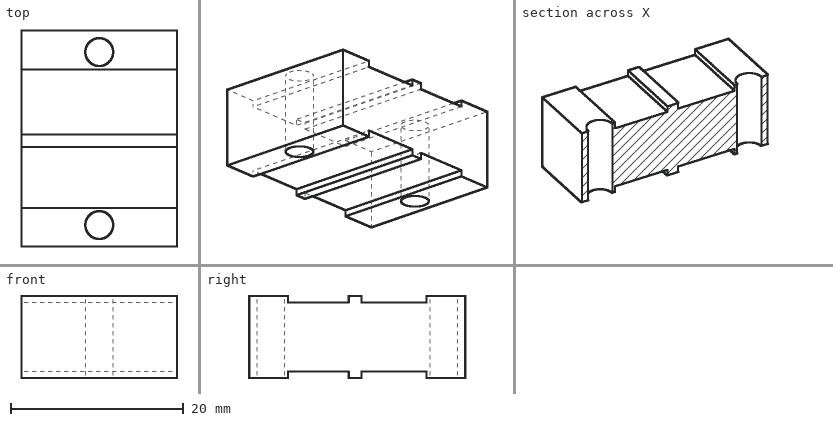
import cadquery as cq

width = 18.0
length = 25.0
height = 9.5

relief_depth = 0.75
land_length = 4.5
rib_thickness = 1.5
rib_back_offset = 12.0

hole_diameter = 3.2
hole_edge_distance = 2.5

back_y = length / 2
land_inner_y = back_y - land_length
rib_back_y = back_y - rib_back_offset
rib_front_y = rib_back_y - rib_thickness


def channel(y_start, y_end, z_center):
    """Full-width cutter between two Y positions, reaching relief_depth each way from z_center."""
    return (
        cq.Workplane("XY")
        .box(width, y_end - y_start, 2 * relief_depth)
        .translate((0, (y_start + y_end) / 2, z_center))
    )


def cut_channels(body):
    """Cut the shallow channels on both sides of the rib, top and bottom."""
    for z_face in (height / 2, -height / 2):
        body = body.cut(channel(-land_inner_y, rib_front_y, z_face))
        body = body.cut(channel(rib_back_y, land_inner_y, z_face))
    return body


def drill_holes(body):
    """Drill one vertical through hole in each end land."""
    hole_y = back_y - hole_edge_distance
    return (
        body.faces(">Z")
        .workplane(origin=(0, 0, height / 2))
        .pushPoints([(0, -hole_y), (0, hole_y)])
        .hole(hole_diameter)
    )


block = cq.Workplane("XY").box(width, length, height)
result = drill_holes(cut_channels(block))